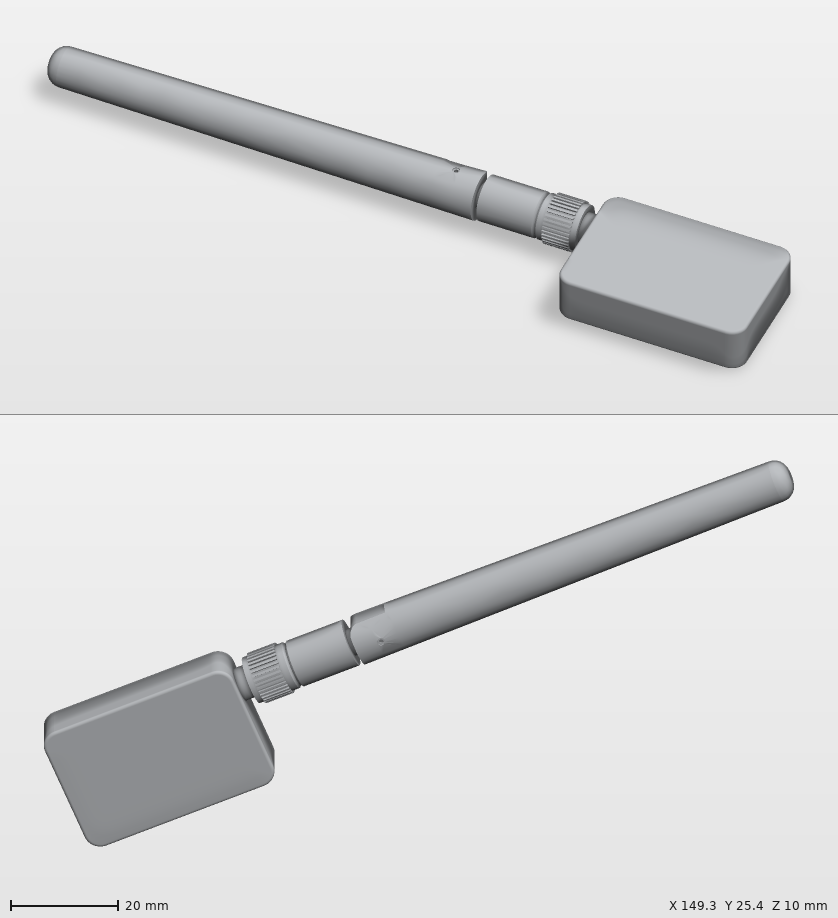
import cadquery as cq
import math

TOTAL_LENGTH = 149.3
BARREL_DIAMETER = 9.1

WHIP_END_X = 87.8
WHIP_ROOT_DIAMETER = 9.5
WHIP_TIP_DIAMETER = 7.9
TIP_FILLET = 2.8
RELIEF_OFFSET = 4.2
RELIEF_LENGTH = 7.6
RELIEF_CORNER_RADIUS = 1.8
HINGE_BORE_DIAMETER = 0.8
HINGE_RECESS_DIAMETER = 1.5
HINGE_RECESS_DEPTH = 0.3
HINGE_BORE_DEPTH = 0.7
HINGE_TO_ROOT = 5.1

NECK_DIAMETER = 5.2
SLEEVE_START_X = 88.8
SLEEVE_END_X = 100.5
EDGE_CHAMFER = 0.5

NUT_END_X = 109.0
KNURL_START_X = 102.3
KNURL_LENGTH = 5.5
KNURL_DIAMETER = 10.0
TOOTH_COUNT = 36
GROOVE_SHARE = 0.5

CONNECTOR_DIAMETER = 6.4
BOX_START_X = 111.2
BOX_WIDTH = 25.4
BOX_HEIGHT = 9.5
BOX_CENTER_Y = -6.4
BOX_CORNER_RADIUS = 3.1
BOX_EDGE_FILLET = 0.6


def axial_cylinder(diameter, start_x, end_x):
    """Cylinder on the antenna axis between two X positions."""
    return cq.Workplane("YZ", origin=(start_x, 0, 0)).circle(diameter / 2).extrude(end_x - start_x)


def make_hinge_hole(side):
    """Stepped blind hole in the whip root, above the axis for side 1 and below it for side -1."""
    hinge_x = WHIP_END_X - HINGE_TO_ROOT
    surface_z = WHIP_ROOT_DIAMETER / 2
    recess_floor_z = surface_z - HINGE_RECESS_DEPTH
    bore_floor_z = surface_z - HINGE_BORE_DEPTH
    recess = (
        cq.Workplane("XY", origin=(hinge_x, 0, side * recess_floor_z))
        .circle(HINGE_RECESS_DIAMETER / 2)
        .extrude(side * WHIP_ROOT_DIAMETER)
    )
    bore = (
        cq.Workplane("XY", origin=(hinge_x, 0, side * bore_floor_z))
        .circle(HINGE_BORE_DIAMETER / 2)
        .extrude(side * WHIP_ROOT_DIAMETER)
    )
    return recess.union(bore)


def make_whip():
    """Tapered rod with a rounded tip, a relief flat at its root and a hinge hole."""
    rod = (
        cq.Workplane("YZ")
        .circle(WHIP_TIP_DIAMETER / 2)
        .workplane(offset=WHIP_END_X)
        .circle(WHIP_ROOT_DIAMETER / 2)
        .loft()
        .faces("<X")
        .edges()
        .fillet(TIP_FILLET)
    )
    relief_start_x = WHIP_END_X - RELIEF_LENGTH
    corner_mid = RELIEF_CORNER_RADIUS * (1 - math.sqrt(0.5))
    relief = (
        cq.Workplane("XY", origin=(0, 0, -WHIP_ROOT_DIAMETER / 2))
        .moveTo(relief_start_x, RELIEF_OFFSET)
        .lineTo(WHIP_END_X - RELIEF_CORNER_RADIUS, RELIEF_OFFSET)
        .threePointArc(
            (WHIP_END_X - corner_mid, RELIEF_OFFSET - corner_mid),
            (WHIP_END_X, RELIEF_OFFSET - RELIEF_CORNER_RADIUS),
        )
        .lineTo(WHIP_END_X, WHIP_ROOT_DIAMETER)
        .lineTo(relief_start_x, WHIP_ROOT_DIAMETER)
        .close()
        .extrude(WHIP_ROOT_DIAMETER)
    )
    return rod.cut(relief).cut(make_hinge_hole(1)).cut(make_hinge_hole(-1))


def make_sleeve():
    """Barrel chamfered toward the nut, with a neck that meets the whip root."""
    barrel = axial_cylinder(BARREL_DIAMETER, SLEEVE_START_X, SLEEVE_END_X)
    barrel = barrel.faces(">X").chamfer(EDGE_CHAMFER)
    return barrel.union(axial_cylinder(NECK_DIAMETER, WHIP_END_X, SLEEVE_START_X))


def make_nut():
    """Collar chamfered toward the sleeve, carrying a band of straight knurl teeth."""
    collar = axial_cylinder(BARREL_DIAMETER, SLEEVE_END_X, NUT_END_X)
    collar = collar.faces("<X").chamfer(EDGE_CHAMFER)
    groove_depth = (KNURL_DIAMETER - BARREL_DIAMETER) / 2
    groove_width = GROOVE_SHARE * math.pi * KNURL_DIAMETER / TOOTH_COUNT
    band = axial_cylinder(KNURL_DIAMETER, KNURL_START_X, KNURL_START_X + KNURL_LENGTH)
    grooves = (
        cq.Workplane("YZ", origin=(KNURL_START_X, 0, 0))
        .polarArray(KNURL_DIAMETER / 2, 180 / TOOTH_COUNT, 360, TOOTH_COUNT)
        .rect(2 * groove_depth, groove_width)
        .extrude(KNURL_LENGTH)
    )
    return band.cut(grooves).union(collar)


def make_enclosure():
    """Rounded box with a round connector neck that meets the nut."""
    box_length = TOTAL_LENGTH - BOX_START_X
    box = (
        cq.Workplane("XY", origin=(BOX_START_X + box_length / 2, BOX_CENTER_Y, 0))
        .box(box_length, BOX_WIDTH, BOX_HEIGHT)
        .edges("|Z")
        .fillet(BOX_CORNER_RADIUS)
        .faces("<Z or >Z")
        .edges()
        .fillet(BOX_EDGE_FILLET)
    )
    return box.union(axial_cylinder(CONNECTOR_DIAMETER, NUT_END_X, BOX_START_X + BOX_CORNER_RADIUS))


whip = make_whip()
sleeve = make_sleeve()
nut = make_nut()
enclosure = make_enclosure()

result = cq.Compound.makeCompound([whip.val(), sleeve.val(), nut.val(), enclosure.val()])